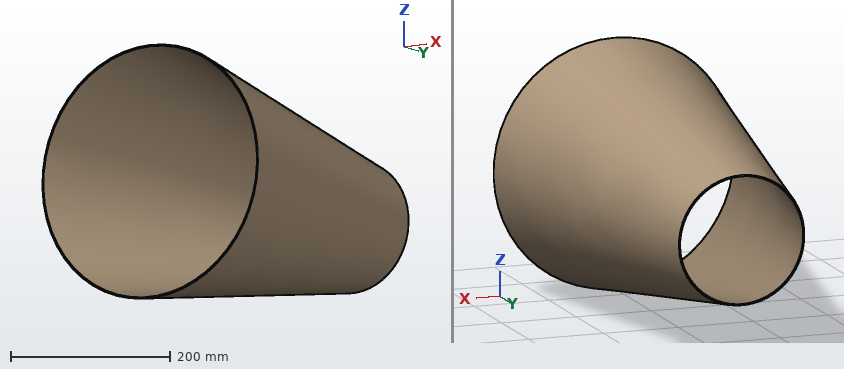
import cadquery as cq

LENGTH = 467.0
WIDE_OUTER_DIAMETER = 323.9
NARROW_OUTER_DIAMETER = 168.3
WALL = 2.0

wide_outer_radius = WIDE_OUTER_DIAMETER / 2
narrow_outer_radius = NARROW_OUTER_DIAMETER / 2


def make_reducer():
    """Revolve the sloping wall section about the Y axis."""
    wall_section = [
        (0, wide_outer_radius - WALL),
        (0, wide_outer_radius),
        (LENGTH, narrow_outer_radius),
        (LENGTH, narrow_outer_radius - WALL),
    ]
    return cq.Workplane("YZ").polyline(wall_section).close().revolve(360, (0, 0, 0), (1, 0, 0))


result = make_reducer()